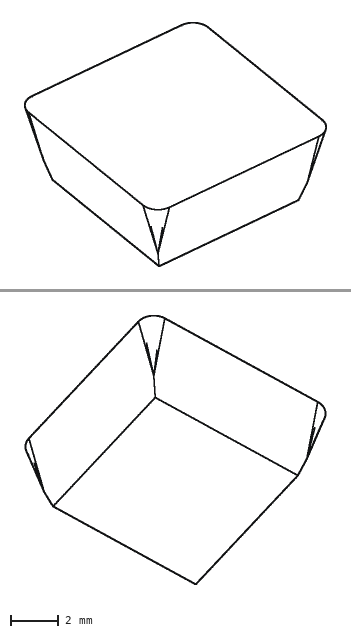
import cadquery as cq
import math

top_width = 9.525
thickness = 3.97
relief_angle = 15.0
corner_radius = 0.8

relief_slope = math.tan(math.radians(relief_angle))
rounded_depth = corner_radius / relief_slope
sharp_level = thickness - rounded_depth
sharp_width = top_width - 2 * corner_radius
bottom_width = top_width - 2 * thickness * relief_slope


def lower_body():
    """Sharp-cornered frustum from the bottom face up to the sharp level."""
    return (
        cq.Workplane("XY")
        .rect(bottom_width, bottom_width)
        .workplane(offset=sharp_level)
        .rect(sharp_width, sharp_width)
        .loft(ruled=True)
    )


def side_wedges(plane):
    """Trapezoid bar that carries two opposite leaning sides between the corners."""
    return (
        cq.Workplane(plane)
        .moveTo(-sharp_width / 2, sharp_level)
        .lineTo(sharp_width / 2, sharp_level)
        .lineTo(top_width / 2, thickness)
        .lineTo(-top_width / 2, thickness)
        .close()
        .extrude(sharp_width / 2, both=True)
    )


def corner_cones():
    """Four upside-down cones, each with its tip at a corner of the sharp level."""
    cone = cq.Solid.makeCone(0, corner_radius, rounded_depth)
    return (
        cq.Workplane("XY")
        .workplane(offset=sharp_level)
        .rect(sharp_width, sharp_width, forConstruction=True)
        .vertices()
        .eachpoint(cone)
    )


upper_body = side_wedges("XZ").union(side_wedges("YZ")).union(corner_cones())
result = upper_body.union(lower_body())